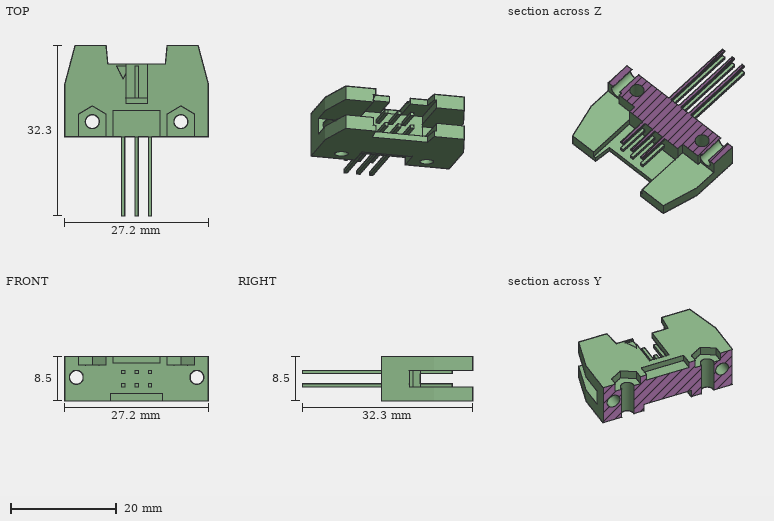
import cadquery as cq

body_width = 27.2
body_height = 8.5
overall_length = 32.3
pin_tail_length = 15.0
body_depth = overall_length - pin_tail_length
half_width = body_width / 2
half_height = body_height / 2

shoulder_y = 10.0
ear_tip_outer_x = 11.65
ear_tip_inner_x = 5.75
gap_floor_half_width = 5.43
gap_floor_y = 13.8

cavity_wall = 1.15
cavity_floor_y = 7.35
cavity_width = 12.47
cavity_height = body_height - 2 * cavity_wall

slot_height = 3.1
slot_floor_y = 5.98
slot_relief_floor_y = 5.3
slot_relief_depth = 3.42

notch_width = 4.1
notch_floor_y = 6.35

mark_depth = 0.32
mark_center_x = -2.55
mark_half_width = 1.25
mark_base_y = 13.45
mark_tip_y = 10.95

pin_pitch = 2.535
pin_size = 0.65
pin_columns = 3
pin_rows = 2
pin_mating_y = 13.45

hole_diameter = 2.6
mount_spacing = 16.75
mount_y = 2.87
nut_width = 5.2
nut_depth = 1.68
nut_shoulder_y = 4.33
nut_tip_y = 5.85

latch_hole_inset = 2.2
latch_hole_z = (slot_height - hole_diameter) / 2

recess_length = 4.97
top_recess_width = 8.88
top_recess_depth = 1.23
bottom_recess_width = 9.88
bottom_recess_depth = 1.5


def block(x_range, y_range, z_range):
    """Box spanning the given coordinate ranges."""
    sizes = [high - low for low, high in (x_range, y_range, z_range)]
    corner = (x_range[0], y_range[0], z_range[0])
    return cq.Workplane("XY").box(*sizes, centered=False).translate(corner)


def centered_range(size):
    """Range of the given length centred on zero."""
    return (-size / 2, size / 2)


def make_shell():
    right_side = [
        (half_width, 0),
        (half_width, shoulder_y),
        (ear_tip_outer_x, body_depth),
        (ear_tip_inner_x, body_depth),
        (gap_floor_half_width, gap_floor_y),
    ]
    left_side = [(-x, y) for x, y in reversed(right_side)]
    outline = cq.Workplane("XY").polyline(right_side + left_side).close()
    return outline.extrude(half_height, both=True)


def make_mating_cavity():
    return block(
        centered_range(cavity_width),
        (cavity_floor_y, body_depth),
        centered_range(cavity_height),
    )


def make_latch_slots():
    slot_z = centered_range(slot_height)
    slots = block(centered_range(body_width), (cavity_floor_y, body_depth), slot_z)
    for side in (-1, 1):
        pocket_x = sorted((side * cavity_width / 2, side * half_width))
        relief_x = sorted((side * (half_width - slot_relief_depth), side * half_width))
        slots = slots.union(block(pocket_x, (slot_floor_y, body_depth), slot_z))
        slots = slots.union(block(relief_x, (slot_relief_floor_y, body_depth), slot_z))
    return slots


def make_key_notch():
    return block(
        centered_range(notch_width),
        (notch_floor_y, body_depth),
        (half_height - cavity_wall, half_height),
    )


def make_pin_one_mark():
    corners = [
        (mark_center_x - mark_half_width, mark_base_y),
        (mark_center_x + mark_half_width, mark_base_y),
        (mark_center_x, mark_tip_y),
    ]
    top_plane = cq.Workplane("XY").workplane(offset=half_height)
    return top_plane.polyline(corners).close().extrude(-mark_depth)


def make_mount(center_x):
    """Vertical hole and the pointed nut pocket above it."""
    half_nut = nut_width / 2
    outline = [
        (-half_nut, 0),
        (half_nut, 0),
        (half_nut, nut_shoulder_y),
        (0, nut_tip_y),
        (-half_nut, nut_shoulder_y),
    ]
    top_plane = cq.Workplane("XY").workplane(offset=half_height)
    pocket = top_plane.polyline(outline).close().extrude(-nut_depth)
    hole = cq.Workplane("XY").center(0, mount_y).circle(hole_diameter / 2)
    return pocket.union(hole.extrude(half_height, both=True)).translate((center_x, 0, 0))


def make_latch_hole(center_x):
    hole = cq.Workplane("XZ").center(center_x, latch_hole_z).circle(hole_diameter / 2)
    return hole.extrude(-slot_relief_floor_y)


def make_rear_recesses():
    recess_y = (0, recess_length)
    top = block(
        centered_range(top_recess_width),
        recess_y,
        (half_height - top_recess_depth, half_height),
    )
    bottom = block(
        centered_range(bottom_recess_width),
        recess_y,
        (-half_height, bottom_recess_depth - half_height),
    )
    return top.union(bottom)


def make_pins():
    centers = cq.Workplane("XZ", origin=(0, -pin_tail_length, 0)).rarray(
        pin_pitch, pin_pitch, pin_columns, pin_rows
    )
    return centers.rect(pin_size, pin_size).extrude(-(pin_tail_length + pin_mating_y))


result = (
    make_shell()
    .cut(make_mating_cavity())
    .cut(make_latch_slots())
    .cut(make_key_notch())
    .cut(make_pin_one_mark())
    .cut(make_rear_recesses())
)
for side in (-1, 1):
    result = result.cut(make_mount(side * mount_spacing / 2))
    result = result.cut(make_latch_hole(side * (half_width - latch_hole_inset)))
result = result.union(make_pins())